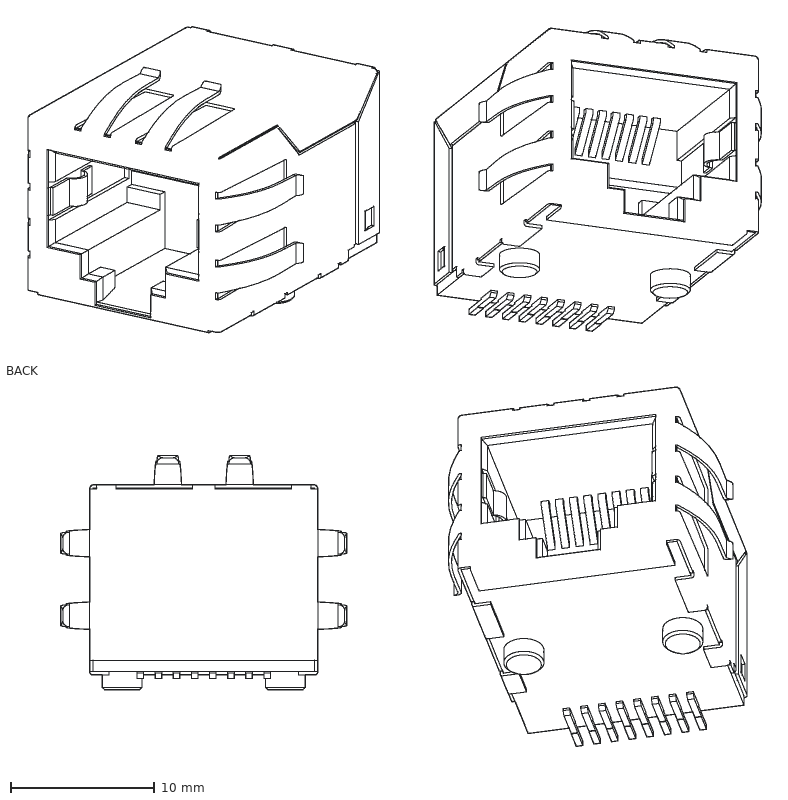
import cadquery as cq
import math


WIDTH = 15.93
HEIGHT = 13.05
DEPTH = 21.2
SHEET = 0.23
BEND = 0.3
CLEAR = 1.13

HALF_WIDTH = WIDTH / 2
INNER_HALF = HALF_WIDTH - SHEET
INNER_TOP = HEIGHT - SHEET
INNER_BACK = DEPTH - SHEET

CHAMFER_DEPTH = 0.35
CHAMFER_END = SHEET + CHAMFER_DEPTH
MOUTH_HALVES = (6.25, 3.52, 2.3)
MOUTH_LEVELS = (10.82, 3.52, 1.72)
MOUTH_FLOOR = 0.18
CAVITY_HALVES = (5.92, 3.19, 1.99)
CAVITY_LEVELS = (10.45, 3.77, 1.99)
CAVITY_FLOOR = 0.27
RAMP_TOP = 0.7
RAMP_END_Y = 2.15
CARRIER_Y = 10.17
CARRIER_BOTTOM = 6.33
CARRIER_BEVEL = 0.38
REAR_Y = CARRIER_Y + CARRIER_BEVEL
STEP_Y = 9.95
STEP_TOP = 4.92

POSITIONS = 8
CONTACT_PITCH = 1.02
CONTACT_WIDTH = 0.55
CONTACT_LOW = 7.68
CONTACT_BEND_Z = 10.17
CONTACT_REACH = 2.03
CONTACT_THICK = 0.27
CONTACT_BEND = 0.56
TAIL_PITCH = 1.27
TAIL_WIDTH = 0.47
TAIL_END_Y = 22.6
TAIL_ROOT_Y = (18.52, 20.33)
TAIL_STEP_Y = 21.0
TAIL_TOP = -0.1
TAIL_ROOT_BOTTOM = -0.43
TAIL_BOTTOM = -0.47
TAIL_CHAMFER = 0.27
PEG_DIAMETER = 2.8
PEG_LENGTH = 1.27
PEG_CHAMFER = 0.18
PEG_X = 5.7
PEG_Y = 10.85

SPRING_RISE = 2.03
SPRING_CREST = 1.65
SPRING_RADIUS = 8.72
SPRING_ARC_Y = (0.97, 5.42)
SPRING_FLAT_END_Y = 7.43
SPRING_ROOT_HALF = 0.97
SPRING_TIP_HALF = 0.75
SPRING_TIP_ROUND = 0.4
WINDOW_END_Y = 8.8
WINDOW_ROOT_HALF = 1.47
WINDOW_END_HALF = 1.2
WINDOW_CORNER = 0.14
TOP_SPRING_X = 2.5
SIDE_SPRING_Z = (3.9, 8.97)

FINGER_Z = (5.87, 7.93)
FINGER_SLOT_Z = (5.5, 8.31)
FINGER_BEND = 0.32
FINGER_BUMP_Y = (2.48, 4.3)
FINGER_BUMP_RISE = 0.72
FINGER_END_Y = 5.42

JOGGLE_Y = (17.48, 18.2)
SEAM_TOP = HEIGHT - BEND
SEAM_LOW = 9.95
SEAM_GAP = 0.23
SEAM_OUTER = ((7.75, SEAM_TOP), (10.48, SEAM_LOW), (JOGGLE_Y[1], SEAM_LOW), (20.83, SEAM_TOP))
SEAM_INNER = ((7.97, SEAM_TOP), (10.55, SEAM_LOW + SEAM_GAP), (18.05, SEAM_LOW + SEAM_GAP), (20.6, SEAM_TOP))
TUCK_END_Y = 18.98
SKIRT_TOP = 0.8
SKIRT_Y = 16.9
EDGE_STEP = 0.14
EDGE_STEP_END_Y = 7.82
NOTCH_Y = 20.74
NOTCH_X = (0.8, 6.12)
CORNER_NOTCH_X = 7.48
LATCH_Y = (19.09, 20.26)
LATCH_Z = (1.54, 2.98)
LATCH_RAMP_Y = (19.18, 19.92)
LATCH_BELOW_SURFACE = 0.02

FLAP_BEND = 0.2
FRONT_FLAP_HALF = 7.03
FRONT_FLAP_END_Y = 2.75
SIDE_FLAP_Y = ((4.55, 8.63), (13.3, 15.6))
SIDE_FLAP_LENGTH = 1.35
RELIEF_WIDTH = 0.3
RELIEF_HEIGHT = 0.18


def box(x, y, z):
    """Box spanning three (low, high) ranges."""
    size = [high - low for low, high in (x, y, z)]
    return cq.Workplane("XY").box(*size, centered=False).translate((x[0], y[0], z[0]))


def side_prism(points, x):
    """Polygon of (y, z) points extruded over an x range."""
    return cq.Workplane("YZ").workplane(offset=x[0]).polyline(points).close().extrude(x[1] - x[0])


def both_sides(shape):
    """Shape on the +X side together with its mirror image."""
    return shape.union(shape.mirror("YZ"))


def opening_points(halves, levels, floor):
    """Stepped plug outline as (x, z) points."""
    main, middle, latch = halves
    roof, main_ledge, middle_ledge = levels
    right = [
        (latch, floor), (latch, middle_ledge), (middle, middle_ledge),
        (middle, main_ledge), (main, main_ledge), (main, roof),
    ]
    return right + [(-x, z) for x, z in reversed(right)]


def plug_cavity():
    main, middle, latch = CAVITY_HALVES
    roof, main_ledge, middle_ledge = CAVITY_LEVELS
    mouth = (
        cq.Workplane("XZ", origin=(0, SHEET, 0))
        .polyline(opening_points(MOUTH_HALVES, MOUTH_LEVELS, MOUTH_FLOOR)).close()
        .workplane(offset=-CHAMFER_DEPTH)
        .polyline(opening_points(CAVITY_HALVES, CAVITY_LEVELS, CAVITY_FLOOR)).close()
        .loft(ruled=True)
    )
    main_room = side_prism(
        [
            (CHAMFER_END, main_ledge), (STEP_Y, main_ledge), (STEP_Y, STEP_TOP), (REAR_Y, STEP_TOP),
            (REAR_Y, CARRIER_BOTTOM - CARRIER_BEVEL), (CARRIER_Y, CARRIER_BOTTOM),
            (CARRIER_Y, roof), (CHAMFER_END, roof),
        ],
        (-main, main),
    )
    middle_room = side_prism(
        [
            (CHAMFER_END, middle_ledge), (RAMP_END_Y, middle_ledge), (RAMP_END_Y, RAMP_TOP),
            (REAR_Y, RAMP_TOP), (REAR_Y, STEP_TOP), (CHAMFER_END, STEP_TOP),
        ],
        (-middle, middle),
    )
    latch_room = side_prism(
        [
            (CHAMFER_END, CAVITY_FLOOR), (RAMP_END_Y, RAMP_TOP),
            (RAMP_END_Y, middle_ledge), (CHAMFER_END, middle_ledge),
        ],
        (-latch, latch),
    )
    return mouth.union(main_room).union(middle_room).union(latch_room)


def finger_slots():
    mouth_half = MOUTH_HALVES[0]
    return box((-mouth_half, mouth_half), (SHEET, CARRIER_Y), FINGER_SLOT_Z)


def tuck_recess():
    """Room for the joggled end of the shield's side panel."""
    return box((INNER_HALF - SHEET, INNER_HALF), (JOGGLE_Y[0], TUCK_END_Y), (SKIRT_TOP, SEAM_LOW))


def latch_wedge():
    tip_x = HALF_WIDTH - LATCH_BELOW_SURFACE
    tip_y, foot_y = LATCH_RAMP_Y
    bottom, top = LATCH_Z
    base_x = INNER_HALF - SHEET
    outline = [(base_x, tip_y), (tip_x, tip_y), (INNER_HALF, foot_y), (base_x, foot_y)]
    return cq.Workplane("XY", origin=(0, 0, bottom)).polyline(outline).close().extrude(top - bottom)


def row_x(index, pitch):
    return (index - (POSITIONS - 1) / 2) * pitch


def contact(x):
    roof = CAVITY_LEVELS[0]
    front_y = CARRIER_Y - CONTACT_REACH
    slope = math.atan2(CONTACT_BEND_Z - CONTACT_LOW, CONTACT_REACH)
    back_y = front_y + CONTACT_THICK / math.sin(slope)
    outline = [
        (CARRIER_Y, CONTACT_LOW), (front_y, CONTACT_BEND_Z), (front_y, roof), (back_y, roof),
        (back_y, CONTACT_BEND_Z), (CARRIER_Y, CONTACT_LOW + CONTACT_THICK / math.cos(slope)),
    ]
    blank = side_prism(outline, (x - CONTACT_WIDTH / 2, x + CONTACT_WIDTH / 2))
    return blank.faces("<Y").edges("<Z").fillet(CONTACT_BEND)


def tail(x):
    root_front, root_back = TAIL_ROOT_Y
    outline = [
        (root_front, 0), (root_back, 0), (root_back, TAIL_TOP), (TAIL_END_Y, TAIL_TOP),
        (TAIL_END_Y, TAIL_BOTTOM), (TAIL_STEP_Y, TAIL_BOTTOM), (TAIL_STEP_Y, TAIL_ROOT_BOTTOM),
        (root_front + TAIL_CHAMFER, TAIL_ROOT_BOTTOM), (root_front, TAIL_ROOT_BOTTOM + TAIL_CHAMFER),
    ]
    return side_prism(outline, (x - TAIL_WIDTH / 2, x + TAIL_WIDTH / 2))


def peg():
    blank = cq.Workplane("XY", origin=(PEG_X, PEG_Y, 0)).circle(PEG_DIAMETER / 2).extrude(-PEG_LENGTH)
    return blank.faces("<Z").chamfer(PEG_CHAMFER)


def make_housing():
    body = box((-INNER_HALF, INNER_HALF), (SHEET, INNER_BACK), (0, INNER_TOP))
    body = body.cut(plug_cavity()).cut(finger_slots()).cut(both_sides(tuck_recess()))
    body = body.union(both_sides(latch_wedge())).union(both_sides(peg()))
    for index in range(POSITIONS):
        body = body.union(contact(row_x(index, CONTACT_PITCH)))
        body = body.union(tail(row_x(index, TAIL_PITCH)))
    return body.solids()


def folded_box():
    outer = box((-HALF_WIDTH, HALF_WIDTH), (0, DEPTH), (0, HEIGHT))
    outer = outer.edges("|Z").fillet(BEND).faces(">Z").edges().fillet(BEND)
    return outer.cut(box((-INNER_HALF, INNER_HALF), (SHEET, INNER_BACK), (-CLEAR, INNER_TOP)))


def front_opening():
    outline = opening_points(MOUTH_HALVES, MOUTH_LEVELS, 0)
    return cq.Workplane("XZ").polyline(outline).close().extrude(-SHEET)


def side_seam():
    """Open seam between the side panel, the top's side flap and the rear flap."""
    outline = list(SEAM_OUTER) + list(reversed(SEAM_INNER))
    return side_prism(outline, (INNER_HALF, HALF_WIDTH))


def side_panel_end():
    """Space left open where the side panel sinks below the rear flap."""
    return box((INNER_HALF, HALF_WIDTH), JOGGLE_Y, (SKIRT_TOP, SEAM_LOW))


def side_panel_joggle():
    """S-bend that carries the side panel in by one sheet, with its straight tucked end."""
    start_y, end_y = JOGGLE_Y
    middle_y = (start_y + end_y) / 2
    quarter = (end_y - start_y) / 4
    half_run, half_drop = middle_y - start_y, SHEET / 2
    radius = (half_run ** 2 + half_drop ** 2) / (2 * half_drop)
    sag = radius - math.sqrt(radius ** 2 - quarter ** 2)
    deep = INNER_HALF - SHEET
    outline = (
        cq.Workplane("XY", origin=(0, 0, SKIRT_TOP))
        .moveTo(HALF_WIDTH, start_y)
        .threePointArc((HALF_WIDTH - sag, start_y + quarter), (HALF_WIDTH - SHEET / 2, middle_y))
        .threePointArc((INNER_HALF + sag, end_y - quarter), (INNER_HALF, end_y))
        .lineTo(INNER_HALF, TUCK_END_Y)
        .lineTo(deep, TUCK_END_Y)
        .lineTo(deep, end_y)
        .threePointArc((deep + sag, end_y - quarter), (deep + SHEET / 2, middle_y))
        .threePointArc((INNER_HALF - sag, start_y + quarter), (INNER_HALF, start_y))
        .close()
    )
    return outline.extrude(SEAM_LOW - SKIRT_TOP)


def edge_step():
    """Step where the top panel stops short of the side panel near the front."""
    return box(
        (HALF_WIDTH - EDGE_STEP, HALF_WIDTH + CLEAR),
        (0, EDGE_STEP_END_Y),
        (HEIGHT - EDGE_STEP, HEIGHT + CLEAR),
    )


def rear_notches():
    """Reliefs along the rear top bend and at the rear top corner."""
    y = (NOTCH_Y, DEPTH + CLEAR)
    z = (HEIGHT - BEND, HEIGHT + CLEAR)
    return box(NOTCH_X, y, z).union(box((CORNER_NOTCH_X, HALF_WIDTH + CLEAR), y, z))


def latch_window():
    return box((INNER_HALF, HALF_WIDTH), LATCH_Y, LATCH_Z)


def front_flap():
    flap = box((-FRONT_FLAP_HALF, FRONT_FLAP_HALF), (0, FRONT_FLAP_END_Y), (-SHEET, 0))
    return flap.edges("<Y and <Z").fillet(FLAP_BEND)


def side_flap(y_range):
    flap = box((HALF_WIDTH - SIDE_FLAP_LENGTH, HALF_WIDTH), y_range, (-SHEET, 0))
    return flap.edges(">X and <Z").fillet(FLAP_BEND)


def flap_reliefs(y_range):
    start, end = y_range
    x, z = (INNER_HALF, HALF_WIDTH), (0, RELIEF_HEIGHT)
    return box(x, (start - RELIEF_WIDTH, start), z).union(box(x, (end, end + RELIEF_WIDTH), z))


def inner_finger():
    """Finger bent in from the opening's edge, with a rounded contact bump."""
    root_x = MOUTH_HALVES[0]
    inner_x = root_x - FINGER_BEND
    outer_x = inner_x + SHEET
    bump_start, bump_end = FINGER_BUMP_Y
    bump_mid = (bump_start + bump_end) / 2
    outline = (
        cq.Workplane("XY", origin=(0, 0, FINGER_Z[0]))
        .moveTo(root_x, 0)
        .radiusArc((inner_x, FINGER_BEND), -FINGER_BEND)
        .lineTo(inner_x, bump_start)
        .threePointArc((inner_x - FINGER_BUMP_RISE, bump_mid), (inner_x, bump_end))
        .lineTo(inner_x, FINGER_END_Y)
        .lineTo(outer_x, FINGER_END_Y)
        .lineTo(outer_x, bump_end)
        .threePointArc((outer_x - FINGER_BUMP_RISE, bump_mid), (outer_x, bump_start))
        .lineTo(outer_x, FINGER_BEND)
        .lineTo(root_x, SHEET)
        .close()
    )
    return outline.extrude(FINGER_Z[1] - FINGER_Z[0])


def spring():
    """Spring on a panel lying in z = 0, centred on x = 0, rising from the front bend."""
    arc_start, arc_end = SPRING_ARC_Y
    center_z = SPRING_CREST - SPRING_RADIUS
    sweep = math.asin((arc_end - arc_start) / SPRING_RADIUS)
    inner_radius = SPRING_RADIUS - SHEET

    def on_arc(radius, angle):
        return (arc_end - radius * math.sin(angle), center_z + radius * math.cos(angle))

    outer_start = on_arc(SPRING_RADIUS, sweep)
    inner_start = on_arc(inner_radius, sweep)
    slope = math.tan(sweep)
    front_z = outer_start[1] - slope * outer_start[0]
    root_length = front_z + BEND
    root_end = (root_length * math.cos(sweep), front_z + root_length * math.sin(sweep))
    root_turn = math.pi / 2 - sweep
    root_radius = root_length / math.tan(root_turn / 2)
    root_middle = (
        root_radius * (1 - math.cos(root_turn / 2)),
        root_radius * math.sin(root_turn / 2) - BEND,
    )
    inner_foot_y = inner_start[0] - (inner_start[1] + SHEET) / slope
    tip_y = SPRING_FLAT_END_Y + SPRING_RISE - SPRING_CREST
    tip_offset = SHEET * math.sqrt(0.5)
    inner_bend_y = SPRING_FLAT_END_Y + SHEET * math.tan(math.pi / 8)
    end_y = tip_y + tip_offset
    ribbon = (
        cq.Workplane("YZ", origin=(-SPRING_ROOT_HALF, 0, 0))
        .moveTo(0, -BEND)
        .threePointArc(root_middle, root_end)
        .lineTo(*outer_start)
        .threePointArc(on_arc(SPRING_RADIUS, sweep / 2), (arc_end, SPRING_CREST))
        .lineTo(SPRING_FLAT_END_Y, SPRING_CREST)
        .lineTo(tip_y, SPRING_RISE)
        .lineTo(end_y, SPRING_RISE - tip_offset)
        .lineTo(inner_bend_y, SPRING_CREST - SHEET)
        .lineTo(arc_end, SPRING_CREST - SHEET)
        .threePointArc(on_arc(inner_radius, sweep / 2), inner_start)
        .lineTo(inner_foot_y, -SHEET)
        .lineTo(SHEET, -SHEET)
        .lineTo(SHEET, -BEND)
        .close()
        .extrude(2 * SPRING_ROOT_HALF)
    )
    plan = (
        cq.Workplane("XY", origin=(0, 0, -CLEAR))
        .polyline([
            (-SPRING_ROOT_HALF, 0), (SPRING_ROOT_HALF, 0),
            (SPRING_TIP_HALF, end_y), (-SPRING_TIP_HALF, end_y),
        ])
        .close()
        .extrude(CLEAR + SPRING_RISE)
        .edges("|Z and >Y").fillet(SPRING_TIP_ROUND)
    )
    return ribbon.intersect(plan)


def spring_window():
    """Tapered window round a spring, open through the front bend."""
    return (
        cq.Workplane("XY", origin=(0, 0, -BEND))
        .polyline([
            (-WINDOW_ROOT_HALF, 0), (WINDOW_ROOT_HALF, 0),
            (WINDOW_END_HALF, WINDOW_END_Y), (-WINDOW_END_HALF, WINDOW_END_Y),
        ])
        .close()
        .extrude(2 * BEND)
        .edges("|Z and >Y").fillet(WINDOW_CORNER)
    )


def at_springs(shape):
    """Copies of a shape placed at the two top and four side spring positions."""
    copies = [shape.translate((x, 0, HEIGHT)) for x in (-TOP_SPRING_X, TOP_SPRING_X)]
    for side in (-1, 1):
        turned = shape.rotate((0, 0, 0), (0, 1, 0), side * 90)
        copies += [turned.translate((side * HALF_WIDTH, 0, z)) for z in SIDE_SPRING_Z]
    return copies


def make_shield():
    body = folded_box().cut(front_opening())
    below_skirt = (-CLEAR, SKIRT_TOP)
    body = body.cut(box((-HALF_WIDTH, HALF_WIDTH), (SKIRT_Y, DEPTH), below_skirt))
    for cutter in (side_seam(), side_panel_end(), edge_step(), rear_notches(), latch_window()):
        body = body.cut(both_sides(cutter))
    body = body.union(both_sides(side_panel_joggle())).union(both_sides(inner_finger()))
    body = body.union(front_flap())
    for y_range in SIDE_FLAP_Y:
        body = body.union(both_sides(side_flap(y_range))).cut(both_sides(flap_reliefs(y_range)))
    for window in at_springs(spring_window()):
        body = body.cut(window)
    for arm in at_springs(spring()):
        body = body.union(arm)
    return body.solids()


housing = make_housing()
shield = make_shield()

result = cq.Compound.makeCompound([housing.val(), shield.val()])